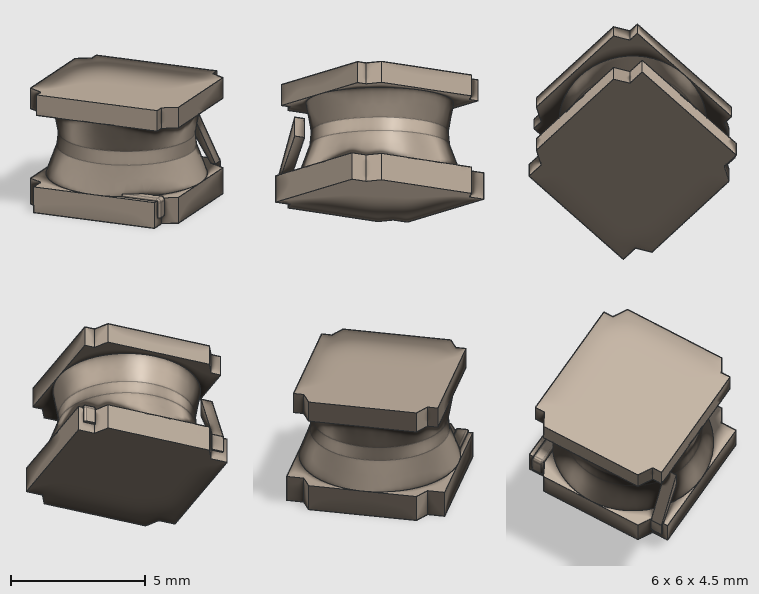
import cadquery as cq

width = 6.0
height = 4.5
base_thickness = 1.0
cap_thickness = 0.8
cap_depth = 5.485
notch_x = 2.45
notch_inner_y = 2.35
notch_outer_y = 2.045

base_radius = width / 2
waist_lower_radius = 2.59
waist_upper_radius = 2.545
cap_radius = cap_depth / 2
waist_bottom = 2.1
waist_top = 2.615
cap_bottom = height - cap_thickness

lead_outer_y = 2.82
rear_lead_outer_y = 2.8
lead_width = lead_outer_y - notch_inner_y
lead_bottom = 0.36
lead_edge_radius = 0.07
lead_gap = 0.035
front_lead_start = 1.05
front_lead_thickness = 0.115
front_lead_top = base_thickness + 0.095
rear_lead_start = 1.5
rear_lead_thickness = 0.07
rear_lead_top = 3.09
rear_ramp_width = 0.72


def flange(depth, bottom, thickness):
    half_x = width / 2
    half_y = depth / 2
    outline = [
        (notch_x, -half_y),
        (notch_x, -notch_inner_y),
        (half_x, -notch_outer_y),
        (half_x, notch_outer_y),
        (notch_x, notch_inner_y),
        (notch_x, half_y),
    ]
    mirrored = [(-x, -y) for x, y in outline]
    plane = cq.Workplane("XY", origin=(0, 0, bottom))
    return plane.polyline(outline + mirrored).close().extrude(thickness)


def winding():
    profile = [
        (0, base_thickness),
        (base_radius, base_thickness),
        (waist_lower_radius, waist_bottom),
        (waist_upper_radius, waist_top),
        (cap_radius, cap_bottom),
        (0, cap_bottom),
    ]
    return cq.Workplane("XZ").polyline(profile).close().revolve(360, (0, 0), (0, 1))


def front_lead():
    """Strip lying on the base, rounded over the edge into a hanging tab."""
    tab_inner = notch_x + lead_gap
    tab_outer = tab_inner + front_lead_thickness
    bend_radius = tab_outer - notch_x
    strip = (
        cq.Workplane("XZ", origin=(0, -notch_inner_y, 0))
        .moveTo(front_lead_start, base_thickness)
        .lineTo(front_lead_start, front_lead_top)
        .lineTo(notch_x, front_lead_top)
        .radiusArc((tab_outer, front_lead_top - bend_radius), bend_radius)
        .lineTo(tab_outer, lead_bottom)
        .lineTo(tab_inner, lead_bottom)
        .lineTo(tab_inner, base_thickness)
        .close()
        .extrude(lead_width)
    )
    select_margin = 0.005
    top_edges = cq.selectors.BoxSelector(
        (front_lead_start, -lead_outer_y - select_margin, front_lead_top - select_margin),
        (notch_x, -notch_inner_y + select_margin, front_lead_top + select_margin),
    )
    return strip.edges(top_edges).edges("|X").fillet(lead_edge_radius)


def rear_lead():
    """Wire sloping down from the winding to a hanging tab."""
    tab_inner = notch_x + lead_gap
    tab_outer = tab_inner + rear_lead_thickness
    profile = [
        (rear_lead_start, rear_lead_top),
        (tab_outer, base_thickness),
        (tab_outer, lead_bottom),
        (tab_inner, lead_bottom),
        (tab_inner, base_thickness),
        (notch_x - rear_lead_thickness, base_thickness),
        (rear_lead_start, rear_lead_top - rear_ramp_width),
    ]
    plane = cq.Workplane("XZ", origin=(0, rear_lead_outer_y, 0))
    return plane.polyline(profile).close().extrude(rear_lead_outer_y - notch_inner_y)


base = flange(width, 0, base_thickness)
cap = flange(cap_depth, cap_bottom, cap_thickness)
body = base.union(cap).union(winding())
result = body.union(front_lead()).union(rear_lead())